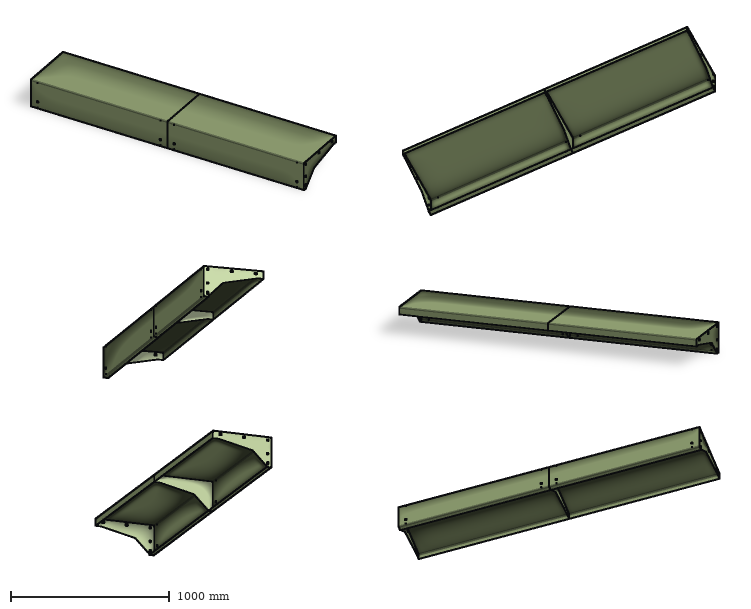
import cadquery as cq

length = 2000.0
depth = 400.0
height = 200.0

sheet = 2.0
bend_radius = 5.0
inner_bend_radius = bend_radius - sheet
lip_height = 50.0
foot_depth = 35.0

plate = 2.0
bracket_corner_radius = 10.0
lip_flat = 40.0
knee_from_wall = 130.0
knee_drop = 100.0
toe_rise = 5.0

hole_inset = 50.0
mount_hole_diameter = 12.0
mount_hole_rise = 50.0
pilot_hole_diameter = 5.0
pilot_hole_inset = 10.0

bracket_hole_diameter = 12.0
slot_length = 17.0
hole_from_wall = 28.0
hole_drop = 20.0
lower_hole_drop = 110.0
wall_slot_drop = 175.0
middle_slot_from_wall = 188.0
front_slot_from_wall = 347.0

half_length = length / 2
wall_y = -depth / 2
lip_y = depth / 2
top_z = height / 2
foot_z = -height / 2
lip_end_z = top_z - lip_height
foot_end_y = wall_y + foot_depth

inner_wall_y = wall_y + sheet
inner_lip_y = lip_y - sheet
inner_top_z = top_z - sheet
inner_foot_z = foot_z + sheet


def skin_blank():
    """Sheet folded into a lip, a top, a wall and a foot."""
    return (
        cq.Workplane("YZ", origin=(-half_length, 0, 0))
        .moveTo(lip_y, lip_end_z)
        .lineTo(lip_y, top_z - bend_radius)
        .radiusArc((lip_y - bend_radius, top_z), -bend_radius)
        .lineTo(wall_y + bend_radius, top_z)
        .radiusArc((wall_y, top_z - bend_radius), -bend_radius)
        .lineTo(wall_y, foot_z + bend_radius)
        .radiusArc((wall_y + bend_radius, foot_z), -bend_radius)
        .lineTo(foot_end_y, foot_z)
        .lineTo(foot_end_y, inner_foot_z)
        .lineTo(wall_y + bend_radius, inner_foot_z)
        .radiusArc((inner_wall_y, foot_z + bend_radius), inner_bend_radius)
        .lineTo(inner_wall_y, top_z - bend_radius)
        .radiusArc((wall_y + bend_radius, inner_top_z), inner_bend_radius)
        .lineTo(lip_y - bend_radius, inner_top_z)
        .radiusArc((inner_lip_y, top_z - bend_radius), inner_bend_radius)
        .lineTo(inner_lip_y, lip_end_z)
        .close()
        .extrude(length)
    )


def wall_holes(z, diameter):
    """Row of cutters through the wall, one near each end of each half."""
    columns = [hole_inset - half_length, -hole_inset, hole_inset, half_length - hole_inset]
    return (
        cq.Workplane("XZ", origin=(0, inner_wall_y, 0))
        .pushPoints([(x, z) for x in columns])
        .circle(diameter / 2)
        .extrude(sheet)
    )


def make_skin():
    return (
        skin_blank()
        .cut(wall_holes(foot_z + mount_hole_rise, mount_hole_diameter))
        .cut(wall_holes(foot_z + pilot_hole_inset, pilot_hole_diameter))
        .cut(wall_holes(top_z - pilot_hole_inset, pilot_hole_diameter))
    )


def bracket_blank(start_x):
    """Plain plate inside the skin, rounded at the corners to clear the skin's bends."""
    radius = bracket_corner_radius
    return (
        cq.Workplane("YZ", origin=(start_x, 0, 0))
        .moveTo(inner_lip_y, lip_end_z)
        .lineTo(inner_lip_y, inner_top_z - radius)
        .radiusArc((inner_lip_y - radius, inner_top_z), -radius)
        .lineTo(inner_wall_y + radius, inner_top_z)
        .radiusArc((inner_wall_y, inner_top_z - radius), -radius)
        .lineTo(inner_wall_y, inner_foot_z + radius)
        .radiusArc((inner_wall_y + radius, inner_foot_z), -radius)
        .lineTo(foot_end_y, inner_foot_z)
        .lineTo(foot_end_y, foot_z + toe_rise)
        .lineTo(wall_y + knee_from_wall, top_z - knee_drop)
        .lineTo(lip_y - lip_flat, lip_end_z)
        .close()
        .extrude(plate)
    )


def make_end_bracket(start_x):
    """Bracket with two round holes, two slots along the top and one slot along the wall."""
    plane = cq.Workplane("YZ", origin=(start_x, 0, 0))
    hole_y = wall_y + hole_from_wall
    top_row_z = top_z - hole_drop
    round_holes = (
        plane.pushPoints([(hole_y, top_row_z), (hole_y, top_z - lower_hole_drop)])
        .circle(bracket_hole_diameter / 2)
        .extrude(plate)
    )
    top_slots = (
        plane.pushPoints([(wall_y + y, top_row_z) for y in (middle_slot_from_wall, front_slot_from_wall)])
        .slot2D(slot_length, bracket_hole_diameter)
        .extrude(plate)
    )
    wall_slot = (
        plane.pushPoints([(hole_y, top_z - wall_slot_drop)])
        .slot2D(slot_length, bracket_hole_diameter, 90)
        .extrude(plate)
    )
    return bracket_blank(start_x).cut(round_holes).cut(top_slots).cut(wall_slot)


skin = make_skin()
end_brackets = [make_end_bracket(x) for x in (-half_length, half_length - plate)]
middle_bracket = bracket_blank(-plate / 2)

result = cq.Compound.makeCompound(
    [skin.val(), *[bracket.val() for bracket in end_brackets], middle_bracket.val()]
)